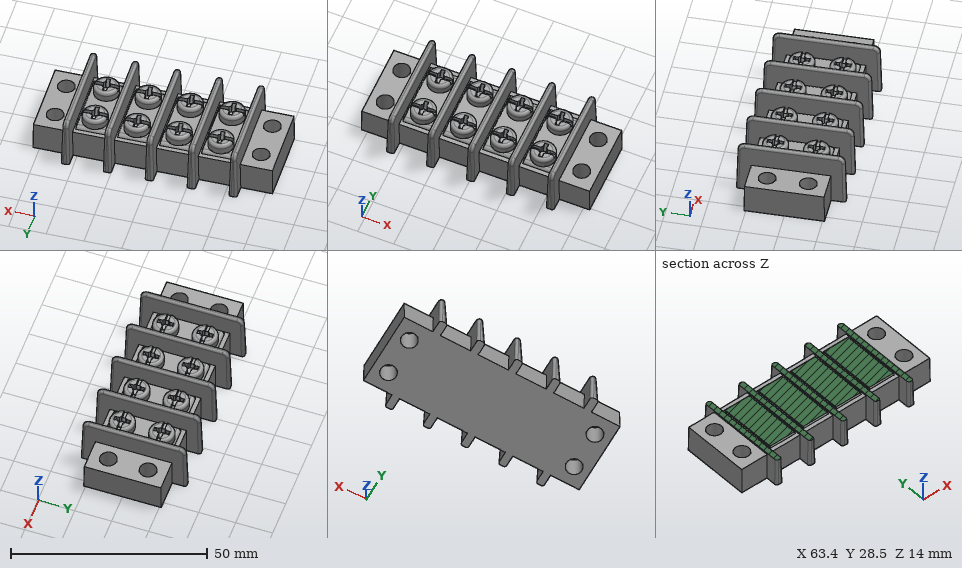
import cadquery as cq
import math

BASE_LENGTH = 63.4
BASE_WIDTH = 21.0
BASE_HEIGHT = 8.05
BASE_END_DRAFT = 0.5
BASE_SIDE_DRAFT = 1.0

HOLE_DIAMETER = 4.5
HOLE_SPACING_X = 54.5

BARRIER_COUNT = 5
PITCH = 11.1
BARRIER_THICKNESS = 2.2
BARRIER_WIDTH = 28.5
BARRIER_HEIGHT = 14.0
BARRIER_FACE_DRAFT = 1.5
BARRIER_EDGE_DRAFT = 1.5
BARRIER_CORNER_RADIUS = 1.7
BARRIER_EDGE_FILLET = 0.7

PLATE_LENGTH = 8.25
PLATE_WIDTH = 18.25
PLATE_THICKNESS = 0.7
PLATE_EDGE_RUN = 1.15

ROW_SPACING = 10.7
HEAD_DIAMETER = 6.7
HEAD_HEIGHT = 2.65
HEAD_FILLET = 0.95
SLOT_WIDTH = 1.0
SLOT_DEPTH = 1.1
CROSS_LENGTH = 4.2
CROSS_BORE_DIAMETER = 2.15
CROSS_DEPTH = 2.1
CROSS_TIP_DEPTH = 0.5

PLATE_TOP = BASE_HEIGHT + PLATE_THICKNESS
ROWS = (-ROW_SPACING / 2, ROW_SPACING / 2)


def drafted_block(length, width, height, draft_x, draft_y):
    """Block standing on Z = 0 whose X and Y sides lean inward by their own draft."""
    top_length = length - 2 * height * math.tan(math.radians(draft_x))
    top_width = width - 2 * height * math.tan(math.radians(draft_y))
    return (
        cq.Workplane("XY")
        .rect(length, width)
        .workplane(offset=height)
        .rect(top_length, top_width)
        .loft(ruled=True)
    )


def centred_positions(count):
    """X positions of `count` items at the terminal pitch, centred on the part."""
    return [(i - (count - 1) / 2) * PITCH for i in range(count)]


def make_base():
    base = drafted_block(BASE_LENGTH, BASE_WIDTH, BASE_HEIGHT, BASE_END_DRAFT, BASE_SIDE_DRAFT)
    holes = (
        cq.Workplane("XY")
        .rect(HOLE_SPACING_X, ROW_SPACING, forConstruction=True)
        .vertices()
        .circle(HOLE_DIAMETER / 2)
        .extrude(BASE_HEIGHT)
    )
    return base.cut(holes)


def make_barrier():
    barrier = drafted_block(
        BARRIER_THICKNESS, BARRIER_WIDTH, BARRIER_HEIGHT, BARRIER_FACE_DRAFT, BARRIER_EDGE_DRAFT
    )
    barrier = barrier.faces(">Z").edges("|X").fillet(BARRIER_CORNER_RADIUS)
    return barrier.faces("<X or >X").edges("not <Z").fillet(BARRIER_EDGE_FILLET)


def make_plate():
    """Flat plate whose two Y edges curve down to the base, tangent to the top."""
    half_width = PLATE_WIDTH / 2
    half_flat = half_width - PLATE_EDGE_RUN
    radius = (PLATE_EDGE_RUN**2 + PLATE_THICKNESS**2) / (2 * PLATE_THICKNESS)
    return (
        cq.Workplane("YZ")
        .moveTo(-half_width, 0)
        .lineTo(half_width, 0)
        .radiusArc((half_flat, PLATE_THICKNESS), -radius)
        .lineTo(-half_flat, PLATE_THICKNESS)
        .radiusArc((-half_width, 0), -radius)
        .close()
        .extrude(PLATE_LENGTH / 2, both=True)
        .translate((0, 0, BASE_HEIGHT))
    )


def make_cross_recess():
    """Cross recess below Z = 0: a bore with a conical bottom and two wings tapering into it."""
    bore_radius = CROSS_BORE_DIAMETER / 2
    bore = (
        cq.Workplane("XZ")
        .polyline([
            (0, 0),
            (bore_radius, 0),
            (bore_radius, -CROSS_DEPTH),
            (0, -CROSS_DEPTH - CROSS_TIP_DEPTH),
        ])
        .close()
        .revolve(360, (0, 0), (0, 1))
    )
    wing = (
        cq.Workplane("XZ")
        .polyline([
            (-CROSS_LENGTH / 2, 0),
            (CROSS_LENGTH / 2, 0),
            (bore_radius, -CROSS_DEPTH),
            (-bore_radius, -CROSS_DEPTH),
        ])
        .close()
        .extrude(SLOT_WIDTH / 2, both=True)
    )
    return bore.union(wing).union(wing.rotate((0, 0, 0), (0, 0, 1), 90))


def make_screw():
    """Round screw head standing on Z = 0, with a slot along X and a cross recess."""
    head = cq.Workplane("XY").circle(HEAD_DIAMETER / 2).extrude(HEAD_HEIGHT)
    head = head.faces(">Z").edges().fillet(HEAD_FILLET)
    slot = (
        cq.Workplane("XY")
        .box(HEAD_DIAMETER, SLOT_WIDTH, SLOT_DEPTH, centered=(True, True, False))
        .translate((0, 0, HEAD_HEIGHT - SLOT_DEPTH))
    )
    recess = make_cross_recess().translate((0, 0, HEAD_HEIGHT))
    return head.cut(slot).cut(recess)


result = make_base()

barrier = make_barrier()
for x in centred_positions(BARRIER_COUNT):
    result = result.union(barrier.translate((x, 0, 0)))

plate = make_plate()
screw = make_screw()
for x in centred_positions(BARRIER_COUNT - 1):
    result = result.union(plate.translate((x, 0, 0)))
    for y in ROWS:
        result = result.union(screw.translate((x, y, PLATE_TOP)))